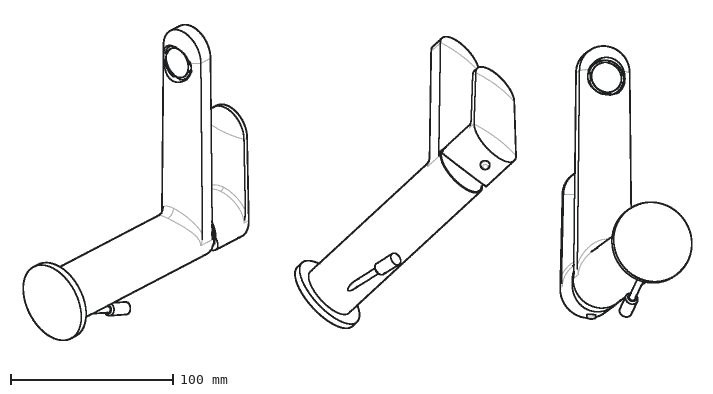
import cadquery as cq
import math

OVERALL_HEIGHT = 180.2

FLANGE_RADIUS = 24.95
FLANGE_THICKNESS = 4.3
BODY_RADIUS = 17.5
BODY_END = 125.2

ARCH_RADIUS = 16.0

SPOUT_HEIGHT = 145.2
SPOUT_FRONT_CREST = 107.2
SPOUT_FRONT_EDGE = 115.1
SPOUT_BACK_EDGE = 123.8
SPOUT_FILLET = 5.0

OUTLET_HEIGHT = 124.7
OUTLET_RADIUS = 11.9
OUTLET_TILT = 5.0
OUTLET_FLOOR = 113.5
AERATOR_RADIUS = 11.2
AERATOR_DISC_RADIUS = 9.5
AERATOR_DISC_FACE = 110.6
AERATOR_RING_FACE = 111.2
NOTCH_WIDTH = 5.0
NOTCH_COUNT = 4

NECK_BASE_RADIUS = 16.5
NECK_TIP_RADIUS = 13.5
NECK_LENGTH = 9.0

ROD_RADIUS = 2.0
ROD_SLOPE = 20.0
KNOB_RADIUS = 4.0
KNOB_LENGTH = 16.8
KNOB_CHAMFER = 1.3
KNOB_END_Y = 65.0
KNOB_END_Z = SPOUT_HEIGHT - OVERALL_HEIGHT + KNOB_RADIUS * math.cos(math.radians(ROD_SLOPE))
PULL_LENGTH = 48.7

LEVER_FRONT = 127.0
LEVER_DROP = 0.4
LEVER_HEIGHT = 75.1
LEVER_FRONT_CREST = 151.2
LEVER_FRONT_EDGE = 153.3
LEVER_BACK_EDGE = 156.2
LEVER_BACK_CREST = 157.8
LEVER_FILLET = 2.2
UNDERCUT_DEPTH = 8.3
SCREW_Y = 147.0
SCREW_RADIUS = 2.9
SCREW_TIP_Z = -19.5
SCREW_ROUND = 1.3


def cylinder(radius, y_start, y_end, z=0.0):
    """Cylinder along Y from y_start to y_end."""
    base = cq.Vector(0, y_start, z)
    axis = cq.Vector(0, 1, 0)
    return cq.Workplane(cq.Solid.makeCylinder(radius, y_end - y_start, base, axis))


def slab_outline(arch_z, y):
    """Tapered outline with a round top, on the plane at the given Y."""
    return (
        cq.Workplane("XZ", origin=(0, y, 0))
        .moveTo(-BODY_RADIUS, 0)
        .lineTo(-ARCH_RADIUS, arch_z)
        .threePointArc((0, arch_z + ARCH_RADIUS), (ARCH_RADIUS, arch_z))
        .lineTo(BODY_RADIUS, 0)
        .close()
    )


def crown_section(half_width, edge_y, crest_y, z):
    """Circular segment at height z, bulging from edge_y to crest_y."""
    left = cq.Vector(-half_width, edge_y, z)
    right = cq.Vector(half_width, edge_y, z)
    arc = cq.Edge.makeThreePointArc(left, cq.Vector(0, crest_y, z), right)
    return cq.Wire.assembleEdges([arc, cq.Edge.makeLine(right, left)])


def dome(radius, edge_y, crest_y, z, sweep=360):
    """Spherical cap on a disc of the given radius at height z; a sweep of 180 gives its lower half."""
    rise = crest_y - edge_y
    half_chord = radius / 2
    sphere_radius = (radius**2 + rise**2) / (2 * abs(rise))
    centre_y = crest_y - math.copysign(sphere_radius, rise)
    middle_y = centre_y + math.copysign(math.sqrt(sphere_radius**2 - half_chord**2), rise)
    return (
        cq.Workplane("XY", origin=(0, 0, z))
        .moveTo(0, edge_y)
        .lineTo(radius, edge_y)
        .threePointArc((half_chord, middle_y), (0, crest_y))
        .close()
        .revolve(sweep, (0, 0, 0), (0, 1, 0))
    )


def crown(arch_z, edge_y, crest_y):
    """Bulging face for a slab: a tapered crown that ends in a dome at the arch."""
    lower = crown_section(BODY_RADIUS, edge_y, crest_y, 0)
    upper = crown_section(ARCH_RADIUS, edge_y, crest_y, arch_z)
    taper = cq.Workplane(cq.Solid.makeLoft([lower, upper], True))
    return taper.union(dome(ARCH_RADIUS, edge_y, crest_y, arch_z))


def crowned_slab(height, front_crest, front_edge, back_edge, back_crest):
    """Round-topped slab with a crowned front and a crowned back."""
    arch_z = height - ARCH_RADIUS
    slab = slab_outline(arch_z, front_edge).extrude(front_edge - back_edge)
    slab = slab.union(crown(arch_z, front_edge, front_crest))
    return slab.union(crown(arch_z, back_edge, back_crest))


def joint_edges(front_crest, front_edge):
    """Selects the curved edges where a slab's crowned front meets a round barrel along Y."""
    low_corner = (-BODY_RADIUS, front_crest, BODY_RADIUS / 2)
    high_corner = (BODY_RADIUS, front_edge, BODY_RADIUS)
    return cq.selectors.BoxSelector(low_corner, high_corner)


def neck():
    """Cone that leaves the body's end and enters the lever."""
    base = cq.Vector(0, BODY_END, 0)
    axis = cq.Vector(0, 1, 0)
    return cq.Workplane(cq.Solid.makeCone(NECK_BASE_RADIUS, NECK_TIP_RADIUS, NECK_LENGTH, base, axis))


def aim_outlet(shape):
    """Tilt a shape about the centre of the aerator face."""
    centre = cq.Vector(0, AERATOR_DISC_FACE, OUTLET_HEIGHT)
    return shape.rotate(centre, centre + cq.Vector(1.8, 0, 0), -OUTLET_TILT)


def outlet_recess():
    """Round pocket that holds the aerator, open toward the flange side."""
    return aim_outlet(cylinder(OUTLET_RADIUS, SPOUT_FRONT_CREST - OUTLET_RADIUS, OUTLET_FLOOR, OUTLET_HEIGHT))


def aerator():
    """Disc with a slightly lower ring around it, notched at four places."""
    disc = cylinder(AERATOR_DISC_RADIUS, AERATOR_DISC_FACE, OUTLET_FLOOR, OUTLET_HEIGHT)
    ring = cylinder(AERATOR_RADIUS, AERATOR_RING_FACE, OUTLET_FLOOR, OUTLET_HEIGHT)
    ring_depth = OUTLET_FLOOR - AERATOR_RING_FACE
    for index in range(NOTCH_COUNT):
        notch = (
            cq.Workplane("XY")
            .box(NOTCH_WIDTH, ring_depth, AERATOR_RADIUS, centered=(True, False, False))
            .rotate((0, 0, 0), (0, 1, 0), index * 360 / NOTCH_COUNT)
            .translate((0, AERATOR_RING_FACE, OUTLET_HEIGHT))
        )
        ring = ring.cut(notch)
    return aim_outlet(ring.union(disc))


def pull_rod():
    """Thin rod with a chamfered knob at its outer end."""
    slope = math.radians(ROD_SLOPE)
    axis = cq.Plane(
        origin=(0, KNOB_END_Y, KNOB_END_Z), xDir=(1, 0, 0), normal=(0, -math.cos(slope), math.sin(slope))
    )
    knob = cq.Workplane(axis).circle(KNOB_RADIUS).extrude(KNOB_LENGTH).faces("<Y").chamfer(KNOB_CHAMFER)
    return knob.union(cq.Workplane(axis).circle(ROD_RADIUS).extrude(PULL_LENGTH))


def make_faucet():
    """Flange, body, spout, outlet, neck and pull rod as one solid."""
    barrel = cylinder(BODY_RADIUS, FLANGE_THICKNESS, BODY_END)
    spout = crowned_slab(SPOUT_HEIGHT, SPOUT_FRONT_CREST, SPOUT_FRONT_EDGE, SPOUT_BACK_EDGE, BODY_END)
    faucet = barrel.union(spout)
    faucet = faucet.edges(joint_edges(SPOUT_FRONT_CREST, SPOUT_FRONT_EDGE)).fillet(SPOUT_FILLET)
    faucet = faucet.cut(outlet_recess())
    faucet = faucet.union(aerator()).union(neck()).union(pull_rod())
    return faucet.union(cylinder(FLANGE_RADIUS, 0, FLANGE_THICKNESS))


def make_lever():
    """Hub with an upright crowned plate, undercut below and socketed for the neck."""
    hub = cylinder(BODY_RADIUS, LEVER_FRONT, LEVER_BACK_EDGE)
    plate = crowned_slab(LEVER_HEIGHT, LEVER_FRONT_CREST, LEVER_FRONT_EDGE, LEVER_BACK_EDGE, LEVER_BACK_CREST)
    lever = hub.union(plate).edges(joint_edges(LEVER_FRONT_CREST, LEVER_FRONT_EDGE)).fillet(LEVER_FILLET)
    lever = lever.union(dome(BODY_RADIUS, LEVER_BACK_EDGE, LEVER_BACK_CREST, 0, 180))
    undercut = (
        cq.Workplane("YZ")
        .moveTo(LEVER_FRONT, 0)
        .lineTo(LEVER_FRONT + UNDERCUT_DEPTH, -BODY_RADIUS)
        .lineTo(LEVER_FRONT, -BODY_RADIUS)
        .close()
        .extrude(BODY_RADIUS, both=True)
    )
    screw = cq.Workplane("XY", origin=(0, SCREW_Y, 0)).circle(SCREW_RADIUS).extrude(SCREW_TIP_Z)
    screw = screw.faces("<Z").fillet(SCREW_ROUND)
    lever = lever.cut(undercut).union(screw).translate((0, 0, -LEVER_DROP))
    return lever.cut(neck())


faucet = make_faucet()
lever = make_lever()
result = cq.Compound.makeCompound([faucet.val(), lever.val()])